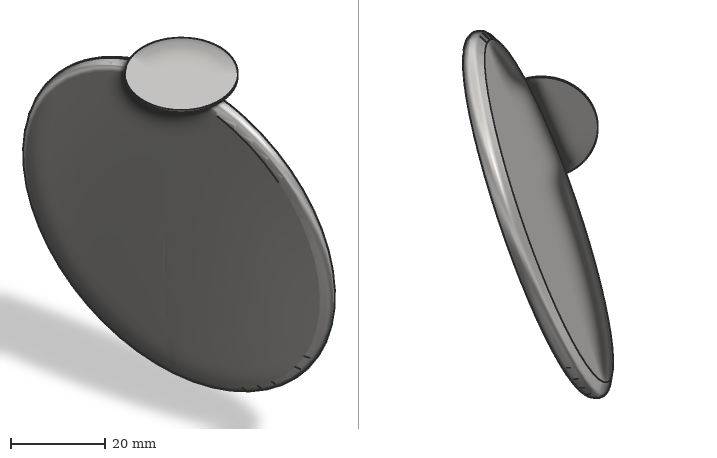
import cadquery as cq

disc_radius = 41.1
back_y = 1.7
back_radius = 38.5
rim_y = -0.8
shoulder_y = -3.0
shoulder_radius = 39.1
dome_mid_y = -4.5
dome_mid_radius = 26.3
crown_y = -5.6

plate_diameter = 24.0
plate_thickness = 0.6
plate_top = disc_radius


def make_disc():
    """Flat-backed disc with a shallow dome flowing into a rounded rim."""
    rim_tangent = (1, 0)
    back_tangent = (back_y - rim_y, disc_radius - back_radius)
    profile = (
        cq.Workplane("YZ")
        .moveTo(crown_y, 0)
        .threePointArc((dome_mid_y, -dome_mid_radius), (shoulder_y, -shoulder_radius))
        .tangentArcPoint((rim_y, -disc_radius), relative=False)
        .spline([(back_y, -back_radius)], tangents=[rim_tangent, back_tangent], includeCurrent=True)
        .lineTo(back_y, 0)
        .close()
    )
    return profile.revolve(360, (0, 0), (1, 0))


def make_plate():
    """Thin plate whose upper face is level with the top of the disc."""
    return (
        cq.Workplane("XY")
        .workplane(offset=plate_top - plate_thickness)
        .circle(plate_diameter / 2)
        .extrude(plate_thickness)
    )


result = make_disc().union(make_plate())